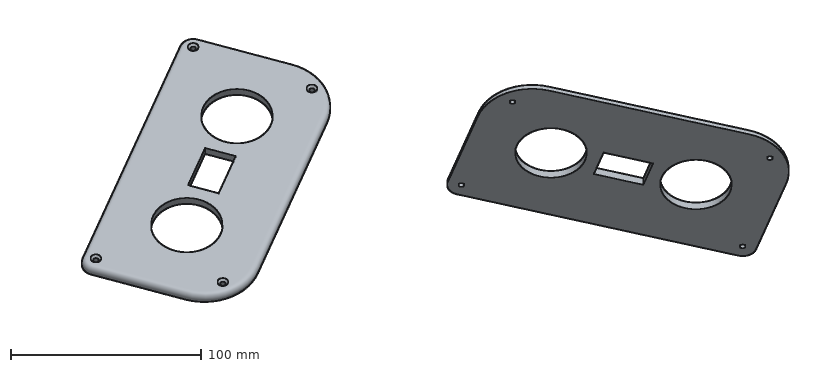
import cadquery as cq
import math

width = 90.0
length = 170.0
thickness = 5.0
left_corner_radius = 7.5
right_corner_radius = 30.0
edge_fillet = 3.4

round_opening_diameter = 37.5
round_opening_spacing = 79.9
window_width = 17.0
window_length = 27.2

screw_diameter = 2.9
countersink_diameter = 5.6
countersink_angle = 90.0
screw_edge_distance = left_corner_radius


def make_plate():
    """Plate with small left corners, large right corners and a rounded top edge."""
    plate = cq.Workplane("XY").box(width, length, thickness, centered=(True, True, False))
    plate = plate.edges("|Z and <X").fillet(left_corner_radius)
    plate = plate.edges("|Z and >X").fillet(right_corner_radius)
    return plate.faces(">Z").edges().fillet(edge_fillet)


def screw_positions():
    """Hole centres: on the left corner centres and on the diagonals of the right corners."""
    left_x = -width / 2 + screw_edge_distance
    left_y = length / 2 - screw_edge_distance
    diagonal_offset = (right_corner_radius - screw_edge_distance) * math.sin(math.radians(45))
    right_x = width / 2 - right_corner_radius + diagonal_offset
    right_y = length / 2 - right_corner_radius + diagonal_offset
    return [(left_x, left_y), (left_x, -left_y), (right_x, right_y), (right_x, -right_y)]


def cut_openings(plate):
    """Two round openings with a rectangular window between them."""
    round_centers = [(0, -round_opening_spacing / 2), (0, round_opening_spacing / 2)]
    top = plate.faces(">Z").workplane(origin=(0, 0, thickness))
    plate = top.pushPoints(round_centers).hole(round_opening_diameter)
    top = plate.faces(">Z").workplane(origin=(0, 0, thickness))
    return top.rect(window_width, window_length).cutThruAll()


def cut_screw_holes(plate):
    """Through holes countersunk from the top face."""
    top = plate.faces(">Z").workplane(origin=(0, 0, thickness))
    return top.pushPoints(screw_positions()).cskHole(
        screw_diameter, countersink_diameter, countersink_angle
    )


result = cut_screw_holes(cut_openings(make_plate()))